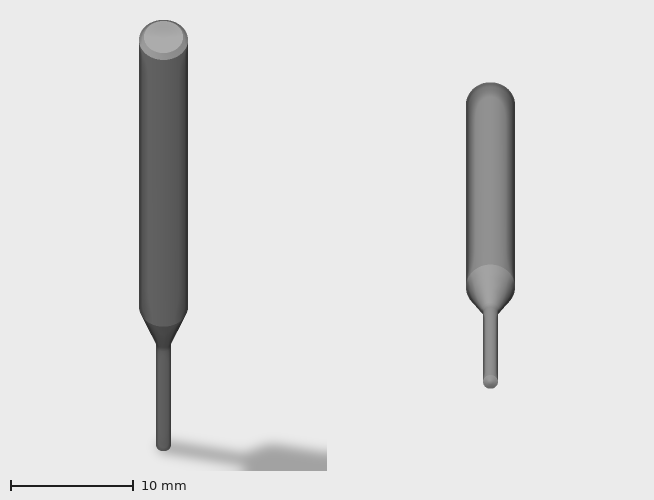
import cadquery as cq
import math

TOTAL_LENGTH = 58.0
SHANK_DIAMETER = 4.0
DRILL_DIAMETER = 1.2

CUTTER_TOP = 13.35
NECK_TOP = 14.4
SHOULDER_HEIGHT = 19.85

END_CHAMFER = 0.4
BLEND_RADIUS = 2.3
POINT_ANGLE = 140.0

shank_radius = SHANK_DIAMETER / 2
drill_radius = DRILL_DIAMETER / 2
point_height = drill_radius / math.tan(math.radians(POINT_ANGLE / 2))


def taper_half_angle():
    """Half angle of a cone that runs from the shoulder and is tangent to the neck blend.

    The blend arc is centred level with the neck top, one blend radius outside the neck.
    """
    centre_offset = drill_radius + BLEND_RADIUS - shank_radius
    centre_drop = SHOULDER_HEIGHT - NECK_TOP
    centre_distance = math.hypot(centre_offset, centre_drop)
    return math.asin(BLEND_RADIUS / centre_distance) - math.atan2(centre_offset, centre_drop)


def blend_point(angle):
    """Point on the neck blend arc, at an angle turned from the neck top."""
    radius = drill_radius + BLEND_RADIUS * (1 - math.cos(angle))
    height = NECK_TOP + BLEND_RADIUS * math.sin(angle)
    return (radius, height)


def make_shank():
    """Chamfered shank that tapers and blends into a short neck."""
    half_angle = taper_half_angle()
    return (
        cq.Workplane("XZ")
        .moveTo(0, CUTTER_TOP)
        .lineTo(drill_radius, CUTTER_TOP)
        .lineTo(drill_radius, NECK_TOP)
        .threePointArc(blend_point(half_angle / 2), blend_point(half_angle))
        .lineTo(shank_radius, SHOULDER_HEIGHT)
        .lineTo(shank_radius, TOTAL_LENGTH - END_CHAMFER)
        .lineTo(shank_radius - END_CHAMFER, TOTAL_LENGTH)
        .lineTo(0, TOTAL_LENGTH)
        .close()
        .revolve(360, (0, 0, 0), (0, 1, 0))
    )


def make_cutter():
    """Plain cutting cylinder with a conical point, butted against the neck."""
    return (
        cq.Workplane("XZ")
        .lineTo(drill_radius, point_height)
        .lineTo(drill_radius, CUTTER_TOP)
        .lineTo(0, CUTTER_TOP)
        .close()
        .revolve(360, (0, 0, 0), (0, 1, 0))
    )


shank = make_shank()
cutter = make_cutter()
result = cq.Compound.makeCompound([shank.val(), cutter.val()])